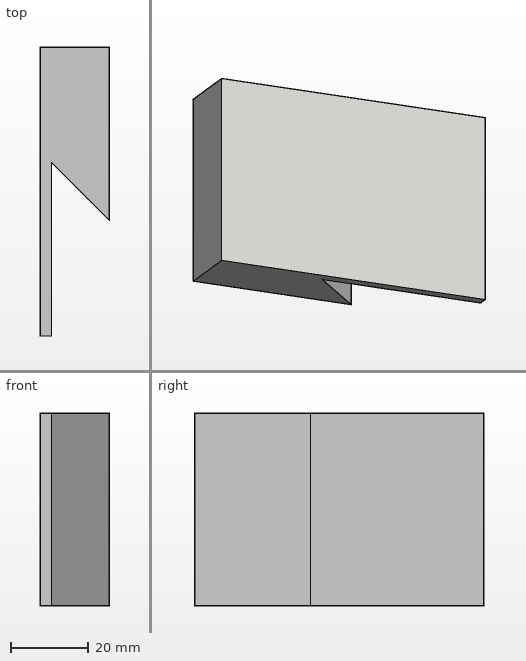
import cadquery as cq

length = 75.0
width = 18.0
height = 50.0

plate_thickness = 3.0
block_root_length = 30.0
block_tip_length = block_root_length + (width - plate_thickness)

back = length / 2
front = -length / 2
left = -width / 2
right = width / 2
plate_face = left + plate_thickness

outline = [
    (left, front),
    (plate_face, front),
    (plate_face, back - block_root_length),
    (right, back - block_tip_length),
    (right, back),
    (left, back),
]

result = cq.Workplane("XY").polyline(outline).close().extrude(height)